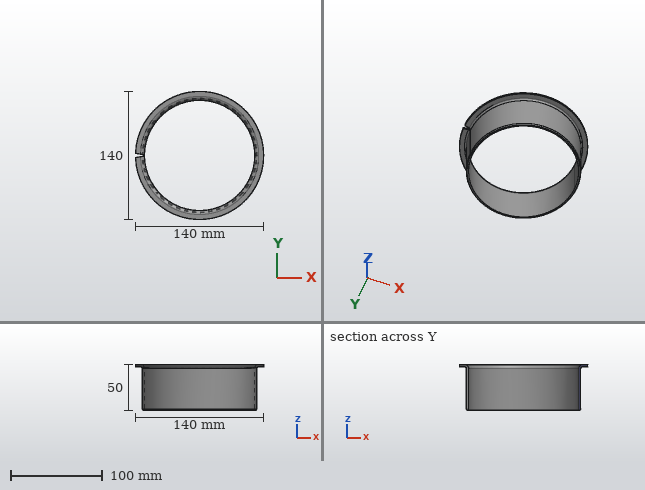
import cadquery as cq
import math

flange_diameter = 140.0
height = 50.0
body_diameter = 125.0
wall = 2.5
bend_outer_radius = 2.0
chamfer_height = 1.7
chamfer_depth = 0.8
gap_at_bore = 1.0
gap_side_angle = 10.0

flange_radius = flange_diameter / 2
body_radius = body_diameter / 2
bore_radius = body_radius - wall
flange_underside = height - wall
bend_inner_radius = bend_outer_radius + wall
bend_center_r = body_radius + bend_outer_radius
bend_center_z = flange_underside - bend_outer_radius


def bend_midpoint(radius):
    """Middle of a quarter arc about the shared bend center."""
    offset = radius * math.sqrt(0.5)
    return bend_center_r - offset, bend_center_z + offset


def flanged_sleeve():
    """Revolve the uniform wall, bent outward into a flange at the top."""
    profile = (
        cq.Workplane("XZ")
        .moveTo(bore_radius, 0)
        .lineTo(body_radius - chamfer_depth, 0)
        .lineTo(body_radius, chamfer_height)
        .lineTo(body_radius, bend_center_z)
        .threePointArc(bend_midpoint(bend_outer_radius), (bend_center_r, flange_underside))
        .lineTo(flange_radius, flange_underside)
        .lineTo(flange_radius, height)
        .lineTo(bend_center_r, height)
        .threePointArc(bend_midpoint(bend_inner_radius), (bore_radius, bend_center_z))
        .close()
    )
    return profile.revolve(360, (0, 0, 0), (0, 1, 0))


def split_gap():
    """Full-height wedge on the -X side, widening outward from the bore."""
    inner_r = bore_radius - wall
    outer_r = flange_radius + wall
    slope = math.tan(math.radians(gap_side_angle))
    inner_half = gap_at_bore / 2 + (inner_r - bore_radius) * slope
    outer_half = gap_at_bore / 2 + (outer_r - bore_radius) * slope
    corners = [
        (-inner_r, inner_half),
        (-outer_r, outer_half),
        (-outer_r, -outer_half),
        (-inner_r, -inner_half),
    ]
    return cq.Workplane("XY").polyline(corners).close().extrude(height)


result = flanged_sleeve().cut(split_gap())